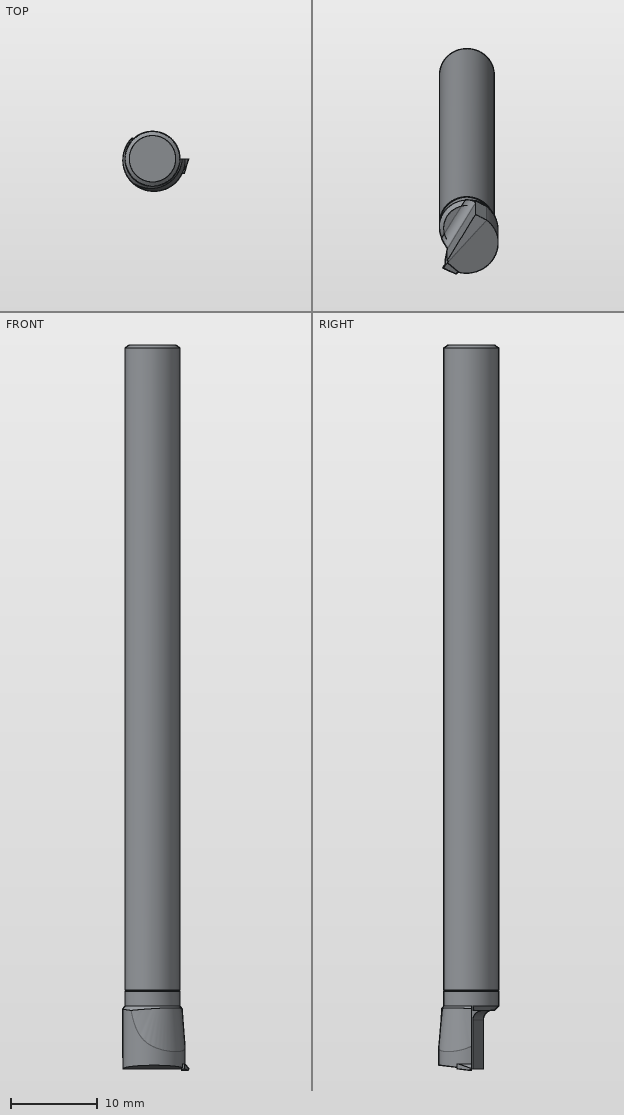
import cadquery as cq
import math

TOTAL_HEIGHT = 83.65
SHANK_RADIUS = 6.35 / 2
JOINT_Z = 9.2
SHANK_TOP_CHAMFER_RADIAL = 0.5
SHANK_TOP_CHAMFER_AXIAL = 0.3
JOINT_CHAMFER = 0.1

NECK_RADIUS = SHANK_RADIUS
SHOULDER_Z = 6.95
SHOULDER_CONE_HEIGHT = 0.5
NECK_BOTTOM_CHAMFER = 0.5

CUTTER_RADIUS = 3.6
CUTTER_X = 0.2
CUTTER_Y = -0.2
RELIEF_BASE_EXTRA_RADIUS = 0.21
RELIEF_TOP_SHIFT = 0.5
RELIEF_DIRECTION = math.radians(315)
POCKET_FILLET = 2.2 / 2

TIP_X = 4.2
RAKE_BACK_X = -3.14
RAKE_BACK_Y = 1.4

TIP_ROOT_X = 3.35
TIP_HEIGHT = 0.75
TIP_NOSE_RADIUS = 0.25
TIP_DEPTH = 1.7
TIP_SIDE_RELIEF = 0.5
END_FACE_Z = 0.2
END_RELIEF_ANGLE = 7.0

MARGIN = 8.4


def make_shank():
    radius = SHANK_RADIUS
    flat_radius = radius - SHANK_TOP_CHAMFER_RADIAL
    profile = [
        (0, JOINT_Z),
        (radius - JOINT_CHAMFER, JOINT_Z),
        (radius, JOINT_Z + JOINT_CHAMFER),
        (radius, TOTAL_HEIGHT - SHANK_TOP_CHAMFER_AXIAL),
        (flat_radius, TOTAL_HEIGHT),
        (0, TOTAL_HEIGHT),
    ]
    return cq.Workplane("XZ").polyline(profile).close().revolve(360, (0, 0), (0, 1))


def make_neck():
    height = JOINT_Z - SHOULDER_Z
    neck = cq.Workplane("XY").workplane(offset=SHOULDER_Z).circle(NECK_RADIUS).extrude(height)
    return neck.faces("<Z").chamfer(NECK_BOTTOM_CHAMFER).faces(">Z").chamfer(JOINT_CHAMFER)


def leaning_cone():
    """Cone that narrows and moves away from the relief direction as it rises."""
    shift_x = -RELIEF_TOP_SHIFT * math.cos(RELIEF_DIRECTION)
    shift_y = -RELIEF_TOP_SHIFT * math.sin(RELIEF_DIRECTION)
    return (
        cq.Workplane("XY")
        .center(CUTTER_X, CUTTER_Y)
        .circle(CUTTER_RADIUS + RELIEF_BASE_EXTRA_RADIUS)
        .workplane(offset=SHOULDER_Z + SHOULDER_CONE_HEIGHT)
        .center(shift_x, shift_y)
        .circle(CUTTER_RADIUS)
        .loft(ruled=True)
    )


def back_flat():
    """Space beside the narrow flat from the widest point of the cutter to the rake face."""
    reach_y = RAKE_BACK_Y - CUTTER_Y
    flat_end_x = CUTTER_X - math.sqrt(CUTTER_RADIUS**2 - reach_y**2)
    flat_start_x = CUTTER_X - math.sqrt(CUTTER_RADIUS**2 - CUTTER_Y**2)
    outline = [
        (flat_start_x, 0),
        (flat_end_x, RAKE_BACK_Y),
        (flat_start_x - MARGIN, RAKE_BACK_Y),
        (flat_start_x - MARGIN, 0),
    ]
    return cq.Workplane("XY").polyline(outline).close().extrude(SHOULDER_Z)


def shoulder_envelope():
    """Round space ending in the cone that joins the cutter to the neck."""
    cone_slope = (CUTTER_RADIUS - NECK_RADIUS) / SHOULDER_CONE_HEIGHT
    outer_radius = CUTTER_RADIUS + 0.8
    cone_top = SHOULDER_Z + SHOULDER_CONE_HEIGHT
    cone_base = cone_top - (outer_radius - NECK_RADIUS) / cone_slope
    profile = [(0, 0), (outer_radius, 0), (outer_radius, cone_base), (NECK_RADIUS, cone_top), (0, cone_top)]
    return cq.Workplane("XZ").polyline(profile).close().revolve(360, (0, 0), (0, 1))


def make_cutter():
    cutter = cq.Workplane("XY").center(CUTTER_X, CUTTER_Y).circle(CUTTER_RADIUS).extrude(JOINT_Z)
    return cutter.intersect(leaning_cone()).intersect(shoulder_envelope()).cut(back_flat())


def make_tip():
    """Small rounded nose with side relief behind the cutting edge."""
    nose_x = TIP_X - TIP_NOSE_RADIUS
    tip = (
        cq.Workplane("XZ")
        .moveTo(TIP_ROOT_X, 0)
        .lineTo(nose_x, 0)
        .radiusArc((TIP_X, TIP_NOSE_RADIUS), -TIP_NOSE_RADIUS)
        .lineTo(CUTTER_X + CUTTER_RADIUS, TIP_HEIGHT)
        .lineTo(TIP_ROOT_X, TIP_HEIGHT)
        .close()
        .extrude(TIP_DEPTH)
    )
    side_relief = (
        cq.Workplane("XY")
        .polyline([(TIP_X, 0), (TIP_X, -TIP_DEPTH), (TIP_X - TIP_SIDE_RELIEF, -TIP_DEPTH)])
        .close()
        .extrude(TIP_HEIGHT)
    )
    return tip.cut(side_relief)


def rake_pocket():
    """Chip space behind the rake face, rounded where it meets the neck."""
    slope = RAKE_BACK_Y / (RAKE_BACK_X - TIP_X)
    far_x = TIP_X + MARGIN
    back_x = RAKE_BACK_X - MARGIN
    outline = [
        (far_x, slope * (far_x - TIP_X)),
        (far_x, MARGIN),
        (back_x, MARGIN),
        (back_x, slope * (back_x - TIP_X)),
    ]
    pocket = (
        cq.Workplane("XY")
        .workplane(offset=-MARGIN)
        .polyline(outline)
        .close()
        .extrude(MARGIN + SHOULDER_Z)
    )
    upper_pocket = pocket.faces(">Z").wires().toPending().extrude(MARGIN, combine=False)
    return pocket.faces(">Z").edges("<Y").fillet(POCKET_FILLET).union(upper_pocket)


def end_relief():
    """Space below the end face, which rises away from the rake face."""
    rise = MARGIN * math.tan(math.radians(END_RELIEF_ANGLE))
    outline = [
        (MARGIN, END_FACE_Z),
        (0, END_FACE_Z),
        (-MARGIN, END_FACE_Z + rise),
        (-MARGIN, -MARGIN),
        (MARGIN, -MARGIN),
    ]
    return cq.Workplane("YZ").polyline(outline).close().extrude(MARGIN, both=True)


def tip_clearance():
    """Space beside the tip, outside the neck outline, on the rake side."""
    corner = cq.Workplane("XY").rect(MARGIN, MARGIN, centered=False).extrude(JOINT_Z)
    return corner.cut(cq.Workplane("XY").circle(NECK_RADIUS).extrude(JOINT_Z))


def make_head():
    cutter = make_cutter().cut(end_relief())
    tip_end_relief = end_relief().translate((0, 0, -END_FACE_Z))
    tip = make_tip().cut(tip_end_relief)
    cutting_end = cutter.union(tip).cut(rake_pocket()).cut(tip_clearance())
    return cutting_end.union(make_neck())


shank = make_shank()
head = make_head()

result = cq.Compound.makeCompound([shank.val(), *head.solids().vals()])